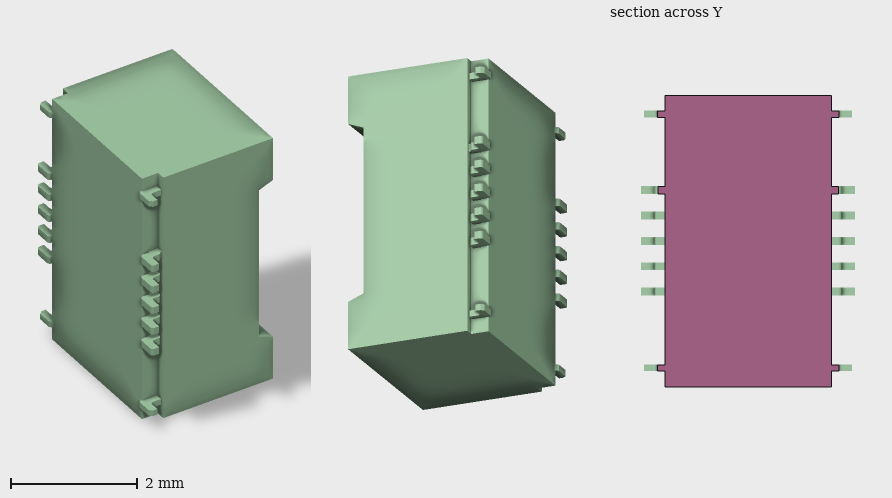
import cadquery as cq

height = 4.6
body_width = 2.95
body_depth = 2.35
total_depth = 2.4
total_width = 3.38
step_width = 0.155
step_depth = 0.3
recess_depth = 0.26
recess_margin = 0.8
recess_slope = 0.1

pitch = 0.4
contact_count = 5
metal_thickness = 0.135
bend_radius = 0.05
embedment = 0.025
contact_width = 0.125
contact_top_gap = 0.035
tab_width = 0.105
tab_bevel = 0.05
tab_inset = 0.05
tab_leg_inset = 0.035
tab_overlap = 0.035
tab_top_gap = 0.02
tab_offset = contact_count * pitch

half_width = body_width / 2
back_y = total_depth / 2
seat_y = -total_depth / 2
front_y = back_y - body_depth
ceiling_y = front_y + step_depth
wall_x = half_width - step_width
half_height = height / 2
foot_y = seat_y + metal_thickness
arm_y = ceiling_y - contact_top_gap
toe_x = total_width / 2


def make_housing():
    recess_outer = half_height - recess_margin
    recess_inner = recess_outer - recess_slope
    recess_y = back_y - recess_depth
    body = (
        cq.Workplane("YZ")
        .moveTo(front_y, -half_height)
        .lineTo(back_y, -half_height)
        .lineTo(back_y, -recess_outer)
        .lineTo(recess_y, -recess_inner)
        .lineTo(recess_y, recess_inner)
        .lineTo(back_y, recess_outer)
        .lineTo(back_y, half_height)
        .lineTo(front_y, half_height)
        .close()
        .extrude(half_width, both=True)
    )
    rebates = (
        cq.Workplane("XY")
        .pushPoints([(side * half_width, front_y) for side in (-1, 1)])
        .rect(2 * step_width, 2 * step_depth)
        .extrude(half_height, both=True)
    )
    return body.cut(rebates)


def edges_at(points):
    """Selector for the edges along Z that pass through the given XY points."""
    selectors = [cq.selectors.NearestToPointSelector((x, y, 0)) for x, y in points]
    combined = selectors[0]
    for selector in selectors[1:]:
        combined = combined + selector
    return combined


def extrude_outline(points, width):
    """Prism with the given XY outline, centred on Z = 0."""
    return cq.Workplane("XY").polyline(points).close().extrude(width / 2, both=True)


def make_contact():
    """Z-shaped contact on the +X side: foot, leg, and arm running into the rebate wall."""
    leg_x = half_width
    heel_x = leg_x - metal_thickness
    root_x = wall_x - embedment
    arm_underside_y = arm_y - metal_thickness
    outline = [
        (heel_x, seat_y),
        (toe_x, seat_y),
        (toe_x, foot_y),
        (leg_x, foot_y),
        (leg_x, arm_y),
        (root_x, arm_y),
        (root_x, arm_underside_y),
        (heel_x, arm_underside_y),
    ]
    rounded = [(heel_x, seat_y), (toe_x, seat_y), (leg_x, foot_y), (leg_x, arm_y)]
    return extrude_outline(outline, contact_width).edges(edges_at(rounded)).fillet(bend_radius)


def make_contact_riser():
    """Block that joins a contact arm to the rebate ceiling."""
    outer_x = half_width - bend_radius
    outline = [
        (wall_x - embedment, arm_y - embedment),
        (outer_x, arm_y - embedment),
        (outer_x, ceiling_y + embedment),
        (wall_x - embedment, ceiling_y + embedment),
    ]
    return extrude_outline(outline, contact_width)


def make_tab():
    """L-shaped anchor tab on the +X side, with its leg sunk into the rebate wall."""
    tab_toe_x = toe_x - tab_inset
    leg_x = half_width - tab_leg_inset
    heel_x = wall_x - tab_overlap
    top_y = ceiling_y - tab_top_gap
    outline = [
        (heel_x, seat_y),
        (tab_toe_x, seat_y),
        (tab_toe_x, foot_y),
        (leg_x, foot_y),
        (leg_x, top_y),
        (heel_x, top_y),
    ]
    beveled = [(heel_x, seat_y), (tab_toe_x, seat_y)]
    tab = extrude_outline(outline, tab_width).edges(edges_at([(leg_x, foot_y)])).fillet(bend_radius)
    return tab.edges(edges_at(beveled)).chamfer(tab_bevel)


def add_terminals(part, terminal, heights):
    """Join a terminal and its mirror image to the part at each height."""
    for z in heights:
        placed = terminal.translate((0, 0, z))
        part = part.union(placed).union(placed.mirror("YZ"))
    return part


contact_heights = [(i - (contact_count - 1) / 2) * pitch for i in range(contact_count)]
result = make_housing()
result = add_terminals(result, make_contact(), contact_heights)
result = add_terminals(result, make_contact_riser(), contact_heights[-1:])
result = add_terminals(result, make_tab(), (-tab_offset, tab_offset))